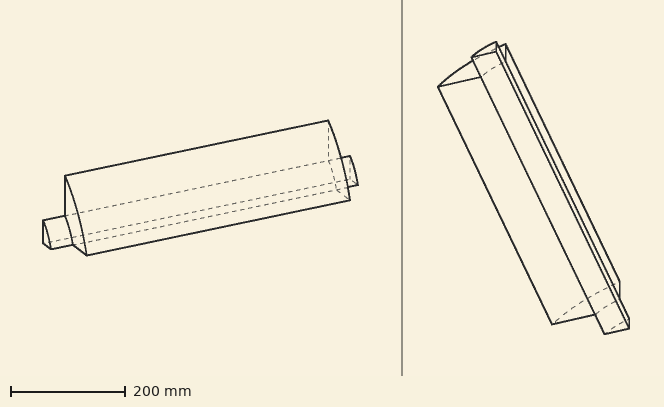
import cadquery as cq
import math

shaft_length = 560.0
shaft_radius = 55.0
sleeve_length = 480.5
sleeve_radius = 150.0

start_angle = 30.0
end_angle = 90.0
middle_angle = (start_angle + end_angle) / 2


def polar_point(radius, angle):
    """Point in the XZ plane at a radius and an angle in degrees from +X."""
    radians = math.radians(angle)
    return (radius * math.cos(radians), radius * math.sin(radians))


def make_shaft():
    """Solid sector with its apex on the Y axis, centred along Y."""
    return (
        cq.Workplane("XZ")
        .moveTo(0, 0)
        .lineTo(*polar_point(shaft_radius, start_angle))
        .threePointArc(
            polar_point(shaft_radius, middle_angle),
            polar_point(shaft_radius, end_angle),
        )
        .close()
        .extrude(shaft_length / 2, both=True)
    )


def make_sleeve():
    """Ring sector that sits on the round face of the shaft, centred along Y."""
    return (
        cq.Workplane("XZ")
        .moveTo(*polar_point(shaft_radius, start_angle))
        .lineTo(*polar_point(sleeve_radius, start_angle))
        .threePointArc(
            polar_point(sleeve_radius, middle_angle),
            polar_point(sleeve_radius, end_angle),
        )
        .lineTo(*polar_point(shaft_radius, end_angle))
        .threePointArc(
            polar_point(shaft_radius, middle_angle),
            polar_point(shaft_radius, start_angle),
        )
        .close()
        .extrude(sleeve_length / 2, both=True)
    )


shaft = make_shaft()
sleeve = make_sleeve()

result = cq.Compound.makeCompound([shaft.val(), sleeve.val()])